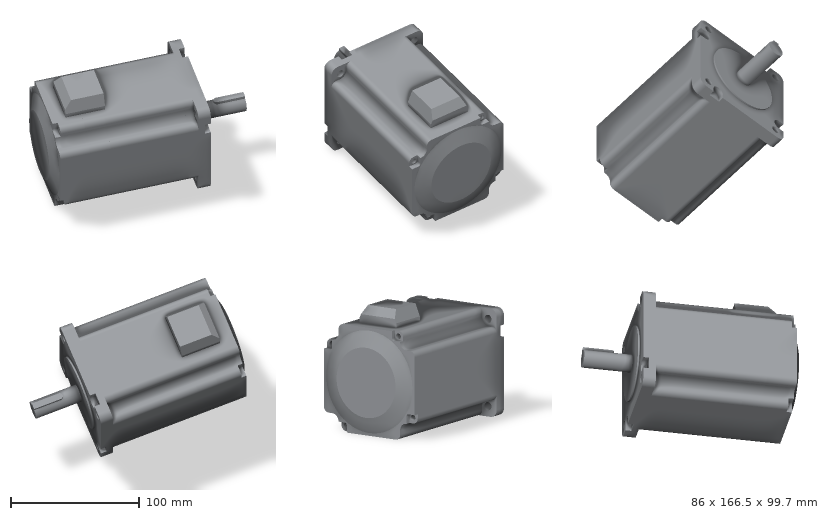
import cadquery as cq


side = 86.0
half = side / 2
plate_corner_radius = 6.0

notch_size = 13.8
notch_inner_radius = 6.0
notch_edge_radius = 4.5

plate_end = 10.0
flange_end = 17.1
stator_end = 81.5
spacer_end = 98.2
cover_end = 122.2

mount_hole_pitch = 69.6
mount_hole_diameter = 6.5
boss_diameter = 60.0
boss_height = 1.5
slot_width = 9.7
slot_depth = 4.7

screw_edge_distance = notch_edge_radius
screw_offset = half - notch_size - notch_edge_radius
screw_height = half - screw_edge_distance
screw_hole_diameter = 4.5

pocket_half_width = 3.3
pocket_depth = 4.2
pocket_corner_radius = 2.0

cap_base_radius = 40.8
cap_top_radius = 28.0
cap_height = 4.5

shaft_diameter = 14.0
shaft_tip = 39.8
key_width = 5.0
key_length = 25.0
key_top = 9.0

box_front = 78.5
box_length = 32.1
box_width = 35.0
box_top_width = 26.6
box_height = 13.7
box_wall_height = 3.7
box_chamfer_length = 5.7
box_chamfer_height = 6.7

TOLERANCE = 0.02


def section_plane(depth):
    """Cross-section plane at a depth behind the mounting face; it extrudes toward -Y."""
    return cq.Workplane("XZ").workplane(offset=depth)


def is_outer_edge(edge):
    """True for a lengthwise edge that lies on an outer side of the square."""
    centre = edge.Center()
    return max(abs(centre.x), abs(centre.z)) > half - TOLERANCE


def is_diagonal_edge(edge):
    """True for a lengthwise edge on a diagonal of the square."""
    centre = edge.Center()
    return abs(abs(centre.x) - abs(centre.z)) < TOLERANCE


def notched_section(start, end):
    """Square bar with a rounded notch along each corner."""
    length = end - start
    core = side - 2 * notch_size
    bar = section_plane(start).rect(side, core).extrude(length)
    bar = bar.union(section_plane(start).rect(core, side).extrude(length))
    bar = bar.edges("|Y").filter(is_outer_edge).fillet(notch_edge_radius)
    return bar.edges("|Y").filter(is_diagonal_edge).fillet(notch_inner_radius)


def four_around(shape):
    """The shape repeated at every quarter turn about the motor axis."""
    return [shape.rotate((0, 0, 0), (0, 1, 0), 90 * turn) for turn in range(4)]


def cut_four_around(body, tool):
    """The body with the tool cut out of it at every quarter turn."""
    for copy in four_around(tool):
        body = body.cut(copy)
    return body


def make_flange():
    plate = section_plane(0).rect(side, side).extrude(plate_end)
    plate = plate.edges("|Y").fillet(plate_corner_radius)
    flange = plate.union(notched_section(plate_end, flange_end))
    boss = section_plane(-boss_height).circle(boss_diameter / 2).extrude(boss_height)
    flange = flange.union(boss)

    mount_holes = (
        section_plane(0)
        .rect(mount_hole_pitch, mount_hole_pitch, forConstruction=True)
        .vertices()
        .circle(mount_hole_diameter / 2)
        .extrude(plate_end)
    )
    flange = flange.cut(mount_holes)

    slot_floor = (
        section_plane(0)
        .center(-screw_offset, screw_height)
        .circle(slot_width / 2)
        .extrude(slot_depth)
    )
    slot_mouth = (
        section_plane(0)
        .center(-screw_offset, screw_height + slot_width / 2)
        .rect(slot_width, slot_width)
        .extrude(slot_depth)
    )
    return cut_four_around(flange, slot_floor.union(slot_mouth))


def make_rear_cover():
    cover = notched_section(spacer_end, cover_end)
    cap = (
        section_plane(cover_end)
        .circle(cap_base_radius)
        .workplane(offset=cap_height)
        .circle(cap_top_radius)
        .loft(ruled=True)
    )
    cover = cover.union(cap)

    pocket_left = screw_offset - pocket_half_width
    pocket_bottom = screw_height - pocket_half_width
    pocket_width = half - notch_size - pocket_left
    pocket_height = half - pocket_bottom
    pocket = (
        section_plane(cover_end - pocket_depth)
        .center(pocket_left, pocket_bottom)
        .rect(pocket_width, pocket_height, centered=False)
        .extrude(pocket_depth)
        .edges("|Y and <X and <Z")
        .fillet(pocket_corner_radius)
    )
    screw_hole = (
        section_plane(spacer_end)
        .center(screw_offset, screw_height)
        .circle(screw_hole_diameter / 2)
        .extrude(cover_end - spacer_end)
    )
    return cut_four_around(cover, pocket.union(screw_hole))


def make_shaft():
    shaft = section_plane(-shaft_tip).circle(shaft_diameter / 2).extrude(shaft_tip - boss_height)
    straight_length = key_length - key_width / 2
    key_end = shaft_tip - straight_length
    key = (
        cq.Workplane("XY")
        .moveTo(-key_width / 2, shaft_tip)
        .lineTo(-key_width / 2, key_end)
        .threePointArc((0, shaft_tip - key_length), (key_width / 2, key_end))
        .lineTo(key_width / 2, shaft_tip)
        .close()
        .extrude(key_top)
    )
    return shaft.union(key)


def make_connector():
    box = (
        section_plane(box_front)
        .center(0, half)
        .moveTo(-box_width / 2, 0)
        .lineTo(box_width / 2, 0)
        .lineTo(box_width / 2, box_wall_height)
        .lineTo(box_top_width / 2, box_height)
        .lineTo(-box_top_width / 2, box_height)
        .lineTo(-box_width / 2, box_wall_height)
        .close()
        .extrude(box_length)
    )
    rear = -(box_front + box_length)
    top = half + box_height
    slope = (
        cq.Workplane("YZ")
        .moveTo(rear, top)
        .lineTo(rear + box_chamfer_length, top)
        .lineTo(rear, top - box_chamfer_height)
        .close()
        .extrude(box_width / 2, both=True)
    )
    return box.cut(slope)


flange = make_flange()
stator = notched_section(flange_end, stator_end)
spacer = notched_section(stator_end, spacer_end)
rear_cover = make_rear_cover()
shaft = make_shaft()
connector = make_connector()

result = cq.Compound.makeCompound(
    [flange.val(), stator.val(), spacer.val(), rear_cover.val(), shaft.val(), connector.val()]
)